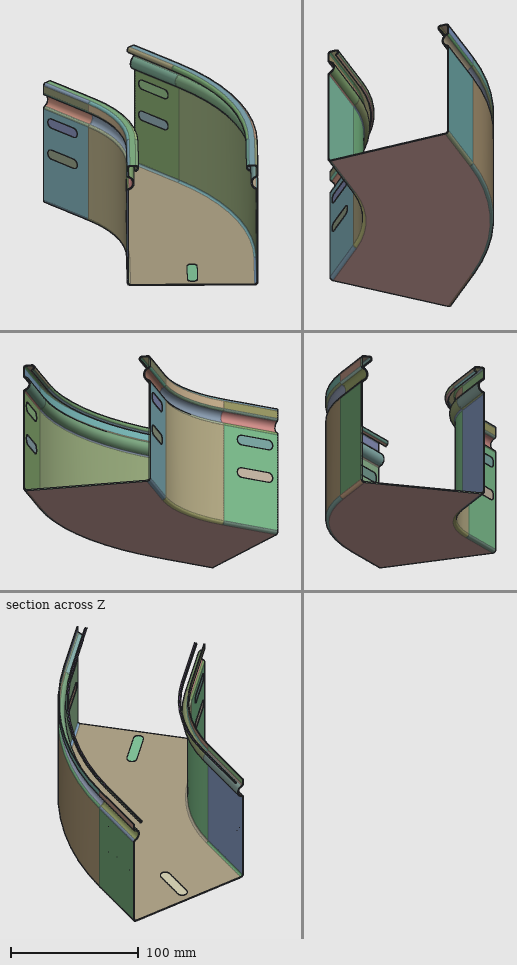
import cadquery as cq
import math

overall_length = 227.3
tray_width = 102.7
tray_height = 103.6
sheet = 1.0
straight_length = 49.3
bend_angle = 45.0

bend_sine = math.sin(math.radians(bend_angle))
bend_cosine = math.cos(math.radians(bend_angle))
outer_radius = (overall_length - straight_length * (1 + bend_cosine)) / bend_sine
inner_radius = outer_radius - tray_width

floor_fold = 2.7
rim_fold = 2.3
lip_flat_end = 6.8
lip_curl = 135.0
lip_tip = 2.0

groove_drop = 15.2
groove_depth = 4.5
groove_radius = 5.0
groove_fold = 2.3

slot_length = 32.3
slot_width = 8.0
slot_end_gap = 5.0
slot_heights = (45.0, 71.8)
slot_relief = 0.35

same_point = 2.27e-06


def polar(center, radius, degrees):
    """Point in the section plane, X = 0, at a radius and angle from a (Y, Z) center."""
    angle = math.radians(degrees)
    return cq.Vector(0, center[0] + radius * math.cos(angle), center[1] + radius * math.sin(angle))


def skin(inset):
    """Edges of one sheet skin, from mid floor to lip tip, `inset` in from the outside.

    Local Y runs inward from the outer wall face and Z runs up.
    """
    groove_z = tray_height - groove_drop
    reach = groove_radius + groove_fold
    tilt = math.degrees(math.acos((reach - groove_depth) / reach))
    half_span = reach * math.sin(math.radians(tilt))
    rim_z = tray_height - rim_fold
    arcs = [
        ((floor_fold, floor_fold), floor_fold - inset, 270, 180),
        ((groove_fold, groove_z - half_span), groove_fold - inset, 180, 180 - tilt),
        ((groove_depth - groove_radius, groove_z), groove_radius + inset, -tilt, tilt),
        ((groove_fold, groove_z + half_span), groove_fold - inset, 180 + tilt, 180),
        ((rim_fold, rim_z), rim_fold - inset, 180, 90),
        ((lip_flat_end, rim_z), rim_fold - inset, 90, 90 - lip_curl),
    ]
    edges = []
    here = cq.Vector(0, tray_width / 2, inset)
    for center, radius, start, end in arcs:
        first = polar(center, radius, start)
        middle = polar(center, radius, (start + end) / 2)
        last = polar(center, radius, end)
        if (first - here).Length > same_point:
            edges.append(cq.Edge.makeLine(here, first))
        edges.append(cq.Edge.makeThreePointArc(first, middle, last))
        here = last
    tip = here + polar((0, 0), lip_tip, -lip_curl)
    edges.append(cq.Edge.makeLine(here, tip))
    return edges


def half_section():
    """Closed face of one wall with its half of the floor."""
    outside = skin(0)
    inside = skin(sheet)
    caps = [
        cq.Edge.makeLine(outside[0].startPoint(), inside[0].startPoint()),
        cq.Edge.makeLine(outside[-1].endPoint(), inside[-1].endPoint()),
    ]
    return cq.Face.makeFromWires(cq.Wire.assembleEdges(outside + inside + caps))


def far_end(shape):
    """Carry a shape from the entry leg to the exit leg, mirrored about the elbow's mid plane."""
    mirrored = shape.mirror("YZ", (straight_length, 0, 0))
    return mirrored.rotate((straight_length, 0, 0), (straight_length, 0, 1), -bend_angle)


def sweep(section):
    """Entry leg, elbow and exit leg of a section standing at X = 0.

    The elbow turns about the vertical line X = straight_length, Y = 0.
    """
    leg = cq.Workplane(cq.Solid.extrudeLinear(section, cq.Vector(straight_length, 0, 0)))
    at_bend = section.translate(cq.Vector(straight_length, 0, 0))
    elbow = cq.Solid.revolve(
        at_bend, -bend_angle, cq.Vector(straight_length, 0, 0), cq.Vector(straight_length, 0, 2.3)
    )
    return leg.union(cq.Workplane(elbow)).union(far_end(leg))


section = half_section()
inner_half = sweep(section.translate(cq.Vector(0, inner_radius, 0)))
outer_half = sweep(section.mirror("XZ").translate(cq.Vector(0, outer_radius, 0)))
tray = inner_half.union(outer_half)


def slot_mark(plane, y, z):
    """Slot-shaped pad on the entry leg, through the sheet and proud of it by the relief."""
    pad = cq.Workplane(plane).slot2D(slot_length, slot_width).extrude(sheet + slot_relief)
    return pad.translate((slot_end_gap + slot_length / 2, y, z))


marks = [slot_mark("XY", inner_radius + tray_width / 2, 0)]
for height in slot_heights:
    marks.append(slot_mark("XZ", outer_radius, height))
    marks.append(slot_mark("XZ", inner_radius + sheet, height))

for entry_mark in marks:
    tray = tray.union(entry_mark).union(far_end(entry_mark))

result = tray